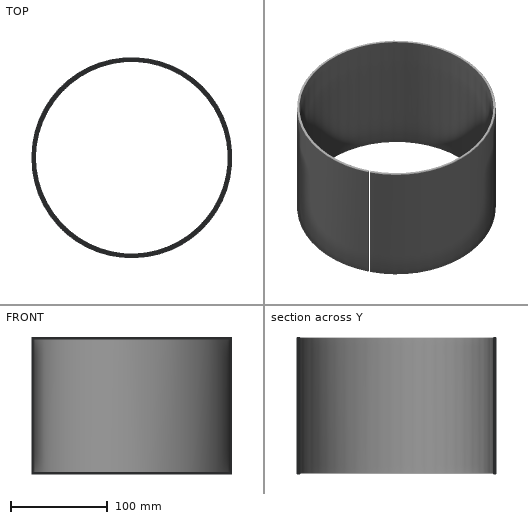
import cadquery as cq

OUTER_DIAMETER = 205.0
WALL_THICKNESS = 2.5
HEIGHT = 140.0
OUTER_CHAMFER = 0.5
INNER_CHAMFER = 0.2
SWEEP_ANGLE = 359.0

OUTER_RADIUS = OUTER_DIAMETER / 2
INNER_RADIUS = OUTER_RADIUS - WALL_THICKNESS


def make_wall_section():
    """Wall cross-section in the XZ plane on the -X side, with chamfered corners."""
    return (
        cq.Workplane("XZ")
        .moveTo(-OUTER_RADIUS + OUTER_CHAMFER, 0)
        .lineTo(-OUTER_RADIUS, OUTER_CHAMFER)
        .lineTo(-OUTER_RADIUS, HEIGHT - OUTER_CHAMFER)
        .lineTo(-OUTER_RADIUS + OUTER_CHAMFER, HEIGHT)
        .lineTo(-INNER_RADIUS - INNER_CHAMFER, HEIGHT)
        .lineTo(-INNER_RADIUS, HEIGHT - INNER_CHAMFER)
        .lineTo(-INNER_RADIUS, INNER_CHAMFER)
        .lineTo(-INNER_RADIUS - INNER_CHAMFER, 0)
        .close()
    )


def make_split_sleeve():
    """Wall section turned about Z; the slit lies on the +Y side of the XZ plane."""
    axis_start = (0, 0, 0)
    axis_end = (0, 1, 0)
    return make_wall_section().revolve(SWEEP_ANGLE, axis_start, axis_end)


result = make_split_sleeve()